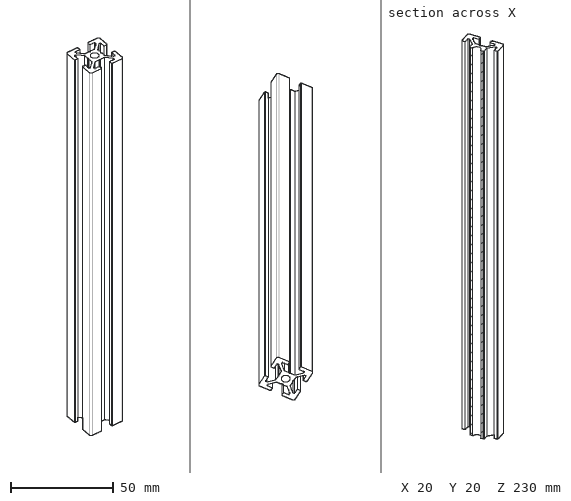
import cadquery as cq
import math

side = 20.0
length = 230.0
corner_radius = 1.0
lip_edge = 0.35

slot_opening = 6.0
lip_thickness = 2.0
slot_inner_width = 12.0
rib_thickness = 1.5

core_width = 8.0
bore_diameter = 4.2
groove_width = 1.0
groove_depth = 0.3

half_side = side / 2
half_core = core_width / 2
half_opening = slot_opening / 2
half_inner = slot_inner_width / 2
slot_ceiling = half_side - lip_thickness
rib_offset = rib_thickness / math.sqrt(2)


def square_bar():
    bar = cq.Workplane("XY").rect(side, side).extrude(length)
    return bar.edges("|Z").fillet(corner_radius)


def slot_cutter():
    """T-slot on the +Y side, with the V groove in its floor."""
    right_half = [
        (groove_width / 2, half_core),
        (half_core - rib_offset, half_core),
        (half_inner, half_inner + rib_offset),
        (half_inner, slot_ceiling),
        (half_opening, slot_ceiling),
        (half_opening, half_side - lip_edge),
        (half_opening + lip_edge, half_side),
    ]
    left_half = [(-x, y) for x, y in reversed(right_half)]
    groove_bottom = (0, half_core - groove_depth)
    outline = [groove_bottom] + right_half + left_half
    return cq.Workplane("XY").polyline(outline).close().extrude(length)


def bore_cutter():
    return cq.Workplane("XY").circle(bore_diameter / 2).extrude(length)


result = square_bar().cut(bore_cutter())
for quarter_turn in range(4):
    slot = slot_cutter().rotate((0, 0, 0), (0, 0, 1), 90 * quarter_turn)
    result = result.cut(slot)